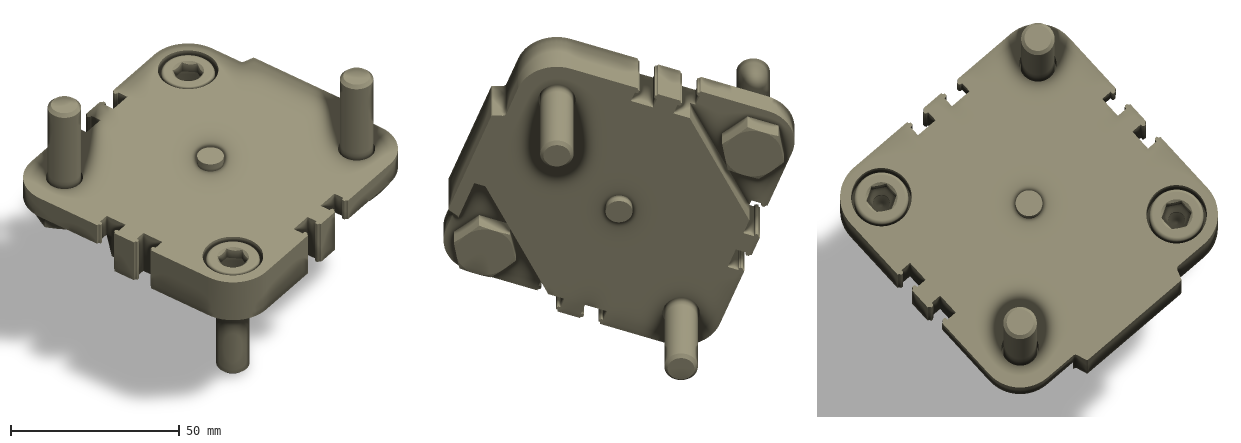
import cadquery as cq
import math

plate_size = 86.6
overall_length = 90.5
plate_height = 14.6
corner_radius = 12.2
half_plate = plate_size / 2

tab_reach = overall_length - plate_size
tab_tip_width = 37.5
tab_root_width = 40.2
tab_root_radius = 1.1
tab_tip_radius = 0.5

pin_diameter = 8.0
pin_projection = 2.7

slot_spacing = 13.5
slot_offset = slot_spacing / 2
slot_mouth = 5.0
slot_width = 7.0
slot_depth = 5.2
lip_depth = 1.8
lip_outer_radius = 0.7
lip_inner_radius = 0.3

bolt_offset = 31.0
clearance_diameter = 11.0
counterbore_diameter = 18.0
counterbore_depth = 6.9

pocket_leg = 40.1
pocket_height = 7.4

shank_diameter = 10
shank_length = 35.1
tip_chamfer = 1.0

hex_flats = 17.0
hex_head_height = 5.9
washer_face_diameter = 14.7
washer_face_height = 0.4
chamfer_angle = 15

cap_diameter = 16.0
cap_height = 6.4
cap_radius = 1.0
socket_flats = 8.0
socket_depth = 3.6
socket_mouth_diameter = 9.5
pilot_diameter = 5.0
pilot_step = 0.45
cone_angle = 45

hexagon_sides = 6
half_side_turn = 180 / hexagon_sides
socket_corners = socket_flats / math.cos(math.radians(half_side_turn))
hex_corners = hex_flats / math.cos(math.radians(half_side_turn))

cap_seat_z = plate_height - counterbore_depth
hex_corner_spots = [(-bolt_offset, -bolt_offset), (bolt_offset, bolt_offset)]
cap_corner_spots = [(-bolt_offset, bolt_offset), (bolt_offset, -bolt_offset)]


def make_blank():
    """Rounded square with the trapezoidal tab and the centre pin."""
    square = (
        cq.Workplane("XY")
        .rect(plate_size, plate_size)
        .extrude(plate_height)
        .edges("|Z")
        .fillet(corner_radius)
    )
    tab = (
        cq.Workplane("XY")
        .moveTo(-tab_root_width / 2, 0)
        .lineTo(-tab_root_width / 2, half_plate)
        .lineTo(-tab_tip_width / 2, half_plate + tab_reach)
        .lineTo(tab_tip_width / 2, half_plate + tab_reach)
        .lineTo(tab_root_width / 2, half_plate)
        .lineTo(tab_root_width / 2, 0)
        .close()
        .extrude(plate_height)
        .edges("|Z and >Y")
        .fillet(tab_tip_radius)
    )
    root_corners = cq.selectors.BoxSelector(
        (-tab_root_width, half_plate - tab_root_radius, 0),
        (tab_root_width, half_plate + tab_root_radius, plate_height),
    )
    pin = (
        cq.Workplane("XY", origin=(0, 0, -pin_projection))
        .circle(pin_diameter / 2)
        .extrude(plate_height + 2 * pin_projection)
    )
    body = square.union(tab).edges("|Z").edges(root_corners).fillet(tab_root_radius)
    return body.union(pin)


def t_slot():
    """T-slot cutter that opens at y = 0 toward -Y and rounds both edges of its lips."""
    lip_edge = slot_mouth / 2
    outer_edge = lip_edge + lip_outer_radius
    inner_edge = lip_edge + lip_inner_radius
    inner_start = lip_depth - lip_inner_radius
    return (
        cq.Workplane("XY")
        .moveTo(-outer_edge, 0)
        .radiusArc((-lip_edge, lip_outer_radius), lip_outer_radius)
        .lineTo(-lip_edge, inner_start)
        .radiusArc((-inner_edge, lip_depth), lip_inner_radius)
        .lineTo(-slot_width / 2, lip_depth)
        .lineTo(-slot_width / 2, slot_depth)
        .lineTo(slot_width / 2, slot_depth)
        .lineTo(slot_width / 2, lip_depth)
        .lineTo(inner_edge, lip_depth)
        .radiusArc((lip_edge, inner_start), lip_inner_radius)
        .lineTo(lip_edge, lip_outer_radius)
        .radiusArc((outer_edge, 0), lip_outer_radius)
        .close()
        .extrude(plate_height)
    )


def corner_pocket():
    """Cutter for the (-X, -Y) corner: its diagonal wall runs between the nearest two T-slots."""
    side_length = half_plate - slot_offset
    return (
        cq.Workplane("XY", origin=(-half_plate, -half_plate, 0))
        .lineTo(side_length, 0)
        .lineTo(side_length, pocket_leg - side_length)
        .lineTo(pocket_leg - side_length, side_length)
        .lineTo(0, side_length)
        .close()
        .extrude(pocket_height)
    )


def make_plate():
    """Blank with its T-slots, corner pockets, clearance holes and counterbores."""
    plate = make_blank()
    for along in (-slot_offset, slot_offset):
        slot = t_slot().translate((along, -half_plate, 0))
        for turn in (-90, 0, 90):
            plate = plate.cut(slot.rotate((0, 0, 0), (0, 0, 1), turn))
    for turn in (0, 180):
        plate = plate.cut(corner_pocket().rotate((0, 0, 0), (0, 0, 1), turn))
    clearance_holes = (
        cq.Workplane("XY")
        .pushPoints(hex_corner_spots + cap_corner_spots)
        .circle(clearance_diameter / 2)
        .extrude(plate_height)
    )
    counterbores = (
        cq.Workplane("XY", origin=(0, 0, cap_seat_z))
        .pushPoints(cap_corner_spots)
        .circle(counterbore_diameter / 2)
        .extrude(counterbore_depth)
    )
    return plate.cut(clearance_holes).cut(counterbores)


def shank():
    """Shank pointing up from its seat at z = 0."""
    return (
        cq.Workplane("XY")
        .circle(shank_diameter / 2)
        .extrude(shank_length)
        .faces(">Z")
        .chamfer(tip_chamfer)
    )


def make_hex_bolt():
    """Bolt with its seat at z = 0, shank up and hexagon head below."""
    slope = math.tan(math.radians(chamfer_angle))
    corner_drop = (hex_corners - hex_flats) / 2 * slope
    hexagon = (
        cq.Workplane("XY", origin=(0, 0, -hex_head_height))
        .polygon(hexagon_sides, hex_corners)
        .extrude(hex_head_height - washer_face_height)
        .rotate((0, 0, 0), (0, 0, 1), half_side_turn)
    )
    chamfer_envelope = (
        cq.Workplane("XZ")
        .moveTo(0, -hex_head_height)
        .lineTo(hex_flats / 2, -hex_head_height)
        .lineTo(hex_corners / 2, -hex_head_height + corner_drop)
        .lineTo(hex_corners / 2, 0)
        .lineTo(0, 0)
        .close()
        .revolve(360, (0, 0), (0, 1))
    )
    washer_face = (
        cq.Workplane("XY", origin=(0, 0, -washer_face_height))
        .circle(washer_face_diameter / 2)
        .extrude(washer_face_height)
    )
    return hexagon.intersect(chamfer_envelope).union(washer_face).union(shank())


def make_socket_cutter():
    """Hexagon socket cutter with its mouth at z = 0: countersunk mouth, stepped conical floor."""
    slope = math.tan(math.radians(cone_angle))
    hexagon = (
        cq.Workplane("XY", origin=(0, 0, -socket_depth))
        .polygon(hexagon_sides, socket_corners)
        .extrude(socket_depth)
        .rotate((0, 0, 0), (0, 0, 1), half_side_turn)
    )
    pilot_radius = pilot_diameter / 2
    pilot_top = -socket_depth - (socket_corners / 2 - pilot_radius) * slope
    pilot_bottom = pilot_top - pilot_step
    floor = (
        cq.Workplane("XZ")
        .moveTo(0, -socket_depth)
        .lineTo(socket_corners / 2, -socket_depth)
        .lineTo(pilot_radius, pilot_top)
        .lineTo(pilot_radius, pilot_bottom)
        .lineTo(0, pilot_bottom - pilot_radius * slope)
        .close()
        .revolve(360, (0, 0), (0, 1))
    )
    mouth_radius = socket_mouth_diameter / 2
    mouth_depth = (mouth_radius - socket_flats / 2) * slope
    mouth = (
        cq.Workplane("XZ")
        .lineTo(mouth_radius, 0)
        .lineTo(socket_flats / 2, -mouth_depth)
        .lineTo(0, -mouth_depth)
        .close()
        .revolve(360, (0, 0), (0, 1))
    )
    return hexagon.union(floor).union(mouth)


def make_cap_screw():
    """Screw with its seat at z = 0, shank down and round socket head above."""
    head = (
        cq.Workplane("XY")
        .circle(cap_diameter / 2)
        .extrude(cap_height)
        .faces(">Z")
        .edges()
        .fillet(cap_radius)
    )
    socket = make_socket_cutter().translate((0, 0, cap_height))
    return head.union(shank().mirror("XY")).cut(socket)


plate = make_plate()
hex_bolts = [make_hex_bolt().translate((x, y, pocket_height)) for x, y in hex_corner_spots]
cap_screws = [make_cap_screw().translate((x, y, cap_seat_z)) for x, y in cap_corner_spots]

result = cq.Compound.makeCompound(
    [plate.val()] + [bolt.val() for bolt in hex_bolts] + [screw.val() for screw in cap_screws]
)